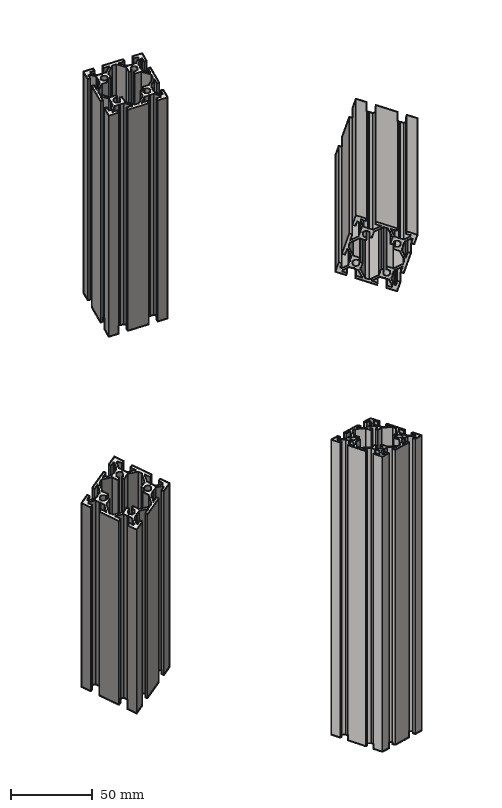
import cadquery as cq
import math

LENGTH = 200.0
MODULE = 20.0
WIDTH_X = 2 * MODULE
WIDTH_Y = 39.2
LIP_DEPTH = 17.95
CAVITY_DEPTH = 17.65
SLOT_OPENING = 6.0
WEB_THICKNESS = 1.45
CORNER_BLOCK = 4.0
BOSS_SIDE = 8.0
BORE_DIAMETER = 4.2
BOSS_GAP_OFFSET = 1.3
MOUTH_WIDTH = 1.85
GROOVE_WIDTH = 1.0
GROOVE_DEPTH = 0.3

BOSS_CENTRE = MODULE / 2
SIGNS = (-1, 1)
WEB_ANGLES = (-45, 45, 135)


def box(x_min, x_max, y_min, y_max):
    """Full-length bar with the given rectangular section."""
    size_x = x_max - x_min
    size_y = y_max - y_min
    return cq.Workplane("XY").box(size_x, size_y, LENGTH, centered=False).translate((x_min, y_min, 0))


def make_lip_ring():
    """Outer wall, opened by two slots on every side."""
    ring = box(-WIDTH_X / 2, WIDTH_X / 2, -WIDTH_X / 2, WIDTH_X / 2)
    ring = ring.cut(box(-LIP_DEPTH, LIP_DEPTH, -LIP_DEPTH, LIP_DEPTH))
    for sign in SIGNS:
        slot_start = sign * BOSS_CENTRE - SLOT_OPENING / 2
        slot_end = slot_start + SLOT_OPENING
        ring = ring.cut(box(slot_start, slot_end, -WIDTH_X, WIDTH_X))
        ring = ring.cut(box(-WIDTH_X, WIDTH_X, slot_start, slot_end))
    return ring


def make_wall_pad():
    """Extra wall thickness between the two central webs on the +Y side."""
    outer_half = 2 * BOSS_CENTRE - LIP_DEPTH
    inner_half = 2 * BOSS_CENTRE - CAVITY_DEPTH
    corners = [
        (-outer_half, LIP_DEPTH),
        (outer_half, LIP_DEPTH),
        (inner_half, CAVITY_DEPTH),
        (-inner_half, CAVITY_DEPTH),
    ]
    return cq.Workplane("XY").polyline(corners).close().extrude(LENGTH)


def make_web(angle):
    """Diagonal web running from a boss centre into the outer wall."""
    reach = (LIP_DEPTH - BOSS_CENTRE + WEB_THICKNESS / 2) * math.sqrt(2)
    web = box(0, reach, -WEB_THICKNESS / 2, WEB_THICKNESS / 2)
    web = web.rotate((0, 0, 0), (0, 0, 1), angle)
    return web.translate((BOSS_CENTRE, BOSS_CENTRE, 0))


def make_mouth():
    """Diagonal passage that blunts the inner corners of the open boss corner."""
    mouth = box(-BOSS_CENTRE, 0, -MOUTH_WIDTH / 2, MOUTH_WIDTH / 2)
    return mouth.rotate((0, 0, 0), (0, 0, 1), 45).translate((BOSS_CENTRE, BOSS_CENTRE, 0))


def make_groove():
    """V-groove in the boss face that forms the bottom of the slot on the +Y side."""
    slot_floor = BOSS_CENTRE + BOSS_SIDE / 2
    corners = [
        (BOSS_CENTRE - GROOVE_WIDTH / 2, slot_floor),
        (BOSS_CENTRE, slot_floor - GROOVE_DEPTH),
        (BOSS_CENTRE + GROOVE_WIDTH / 2, slot_floor),
    ]
    return cq.Workplane("XY").polyline(corners).close().extrude(LENGTH)


def make_quadrant():
    """Screw boss, webs, corner block and grooves of the +X +Y quadrant."""
    boss_min = BOSS_CENTRE - BOSS_SIDE / 2
    boss_max = BOSS_CENTRE + BOSS_SIDE / 2
    quadrant = box(boss_min, boss_max, boss_min, boss_max)
    for angle in WEB_ANGLES:
        quadrant = quadrant.union(make_web(angle))

    block_min = WIDTH_X / 2 - CORNER_BLOCK
    quadrant = quadrant.union(box(block_min, WIDTH_X / 2, block_min, WIDTH_X / 2))

    bore = cq.Workplane("XY").center(BOSS_CENTRE, BOSS_CENTRE).circle(BORE_DIAMETER / 2).extrude(LENGTH)
    gap_end = BOSS_CENTRE - BOSS_GAP_OFFSET
    quadrant = quadrant.cut(bore).cut(box(0, gap_end, 0, gap_end)).cut(make_mouth())
    groove = make_groove()
    return quadrant.cut(groove).cut(groove.mirror((1, -1, 0)))


def make_extrusion():
    """Four quadrants and wall pads joined by the lip ring, trimmed to the Y width."""
    profile = make_lip_ring()
    sector = make_quadrant().union(make_wall_pad())
    for quarter_turn in range(4):
        profile = profile.union(sector.rotate((0, 0, 0), (0, 0, 1), 90 * quarter_turn))
    return profile.intersect(box(-WIDTH_X / 2, WIDTH_X / 2, -WIDTH_Y / 2, WIDTH_Y / 2))


result = make_extrusion()